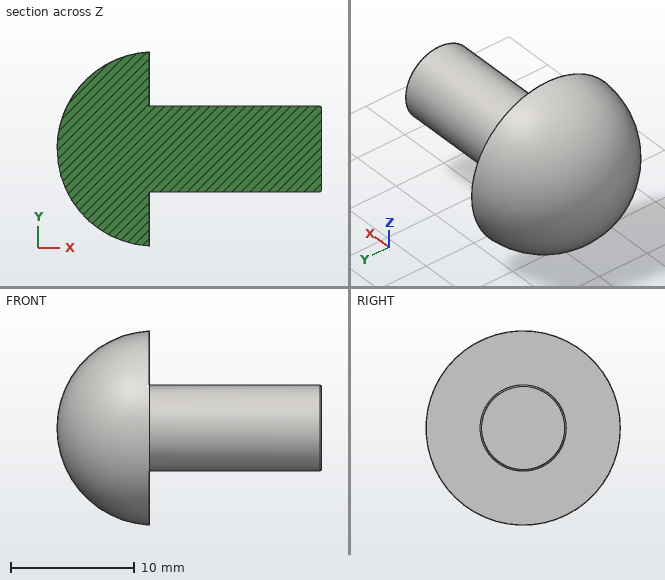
import cadquery as cq
import math

total_length = 21.5
head_diameter = 15.8
head_height = 7.5
shank_diameter = 7.0
end_chamfer = 0.13

head_radius = head_diameter / 2
shank_radius = shank_diameter / 2
crown_x = -total_length / 2
head_face_x = crown_x + head_height
shank_end_x = total_length / 2

dome_radius = (head_radius**2 + head_height**2) / (2 * head_height)
dome_center_x = crown_x + dome_radius
half_angle = math.atan2(head_radius, dome_center_x - head_face_x) / 2
dome_mid_point = (
    dome_center_x - dome_radius * math.cos(half_angle),
    dome_radius * math.sin(half_angle),
)

result = (
    cq.Workplane("XY")
    .moveTo(crown_x, 0)
    .threePointArc(dome_mid_point, (head_face_x, head_radius))
    .lineTo(head_face_x, shank_radius)
    .lineTo(shank_end_x - end_chamfer, shank_radius)
    .lineTo(shank_end_x, shank_radius - end_chamfer)
    .lineTo(shank_end_x, 0)
    .close()
    .revolve(360, (0, 0, 0), (1, 0, 0))
)